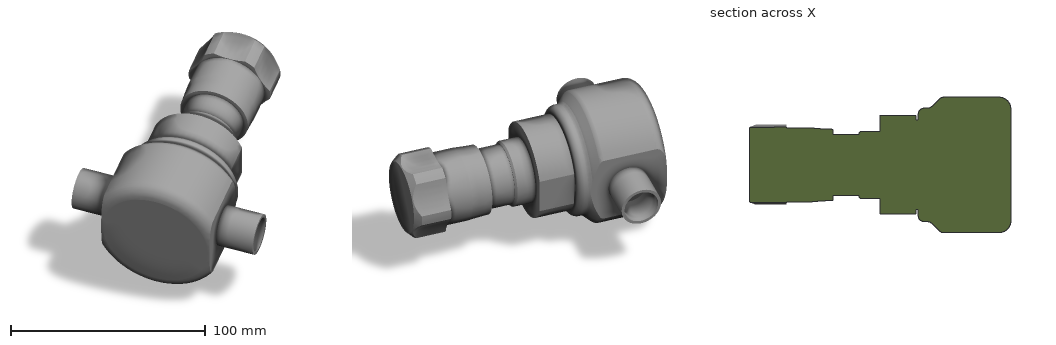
import cadquery as cq
import math

total_length = 134.3
knee_y = 35.9
flange_top_y = 47.8
hex_start_y = 48.6
hex_end_y = 67.4
collar_end_y = 78.3
stem_end_y = 91.3
taper_end_y = 102.3
nut_start_y = 115.1

body_radius = 34.9
flange_radius = 29.3
flange_root_y = knee_y + body_radius - flange_radius
base_fillet = 6.3
shoulder_fillet = 2.8
flange_fillet = 3.2
body_half_width = 29.4

gap_radius = 23.1
bonnet_radius = 25.4
bonnet_half_width = 23.5
collar_radius = 17.3
collar_chamfer = 1.1
stem_radius = 15.8
taper_small_radius = 18.4
sleeve_radius = 19.1

nut_radius = 22.2
nut_end_radius = 19.0
nut_chamfer_length = 3.2
scallop_count = 6
scallop_half_chord = 8.5
scallop_depth = 1.1

port_y = 21.2
port_end_x = 49.2
bore_floor_x = 32.0
port_radius = 10.7
bore_radius = 9.1


def revolve_about_y(outline):
    """Turn a list of (radius, y) points about the valve axis."""
    return cq.Workplane("XY").polyline(outline).close().revolve(360, (0, 0), (0, 1))


def round_rim(solid, rim_y, radius):
    """Fillet the circular edge lying at one station on the valve axis."""
    rims = solid.edges("%CIRCLE").filter(lambda edge: abs(edge.Center().y - rim_y) < 0.01)
    return rims.fillet(radius)


def trim_width(solid, half_width):
    """Cut two parallel flats facing -X and +X."""
    slab = cq.Workplane("XY").box(2 * half_width, 2 * total_length, 4 * body_radius)
    return solid.intersect(slab)


def make_body():
    body = revolve_about_y([
        (0, 0),
        (body_radius, 0),
        (body_radius, knee_y),
        (flange_radius, flange_root_y),
        (flange_radius, flange_top_y),
        (0, flange_top_y),
    ])
    body = round_rim(body, 0, base_fillet)
    body = round_rim(body, knee_y, shoulder_fillet)
    body = round_rim(body, flange_root_y, shoulder_fillet)
    body = round_rim(body, flange_top_y, flange_fillet)
    return trim_width(body, body_half_width)


def make_bonnet():
    bonnet = revolve_about_y([
        (0, hex_start_y),
        (bonnet_radius, hex_start_y),
        (bonnet_radius, hex_end_y),
        (0, hex_end_y),
    ])
    return trim_width(bonnet, bonnet_half_width)


def make_stem():
    """Gap ring, collar, stem and tapered sleeve as one turned core."""
    return revolve_about_y([
        (0, flange_top_y),
        (gap_radius, flange_top_y),
        (gap_radius, hex_start_y),
        (collar_radius, hex_start_y),
        (collar_radius, collar_end_y - collar_chamfer),
        (collar_radius - collar_chamfer, collar_end_y),
        (stem_radius, collar_end_y),
        (stem_radius, stem_end_y),
        (taper_small_radius, stem_end_y),
        (sleeve_radius, taper_end_y),
        (sleeve_radius, nut_start_y),
        (0, nut_start_y),
    ])


def make_nut():
    nut = revolve_about_y([
        (0, nut_start_y),
        (nut_radius, nut_start_y),
        (nut_radius, total_length - nut_chamfer_length),
        (nut_end_radius, total_length),
        (0, total_length),
    ])
    scallop_radius = (scallop_half_chord**2 + scallop_depth**2) / (2 * scallop_depth)
    chord_distance = math.sqrt(nut_radius**2 - scallop_half_chord**2)
    scallop_offset = chord_distance - scallop_depth + scallop_radius
    scallop = (
        cq.Workplane("XZ", origin=(0, nut_start_y, 0))
        .center(0, scallop_offset)
        .circle(scallop_radius)
        .extrude(nut_start_y - total_length)
    )
    for index in range(scallop_count):
        nut = nut.cut(scallop.rotate((0, 0, 0), (0, 1, 0), index * 360 / scallop_count))
    return nut


def make_port(side):
    """Tube with a blind bore on a solid root; side is -1 or +1 along X."""
    axis = cq.Workplane("YZ").center(port_y, 0)
    root = axis.circle(port_radius).extrude(side * bore_floor_x)
    tube = (
        axis.workplane(offset=side * bore_floor_x)
        .circle(port_radius)
        .circle(bore_radius)
        .extrude(side * (port_end_x - bore_floor_x))
    )
    return root.union(tube)


result = make_body().union(make_stem()).union(make_bonnet()).union(make_nut())
for port_side in (-1, 1):
    result = result.union(make_port(port_side))